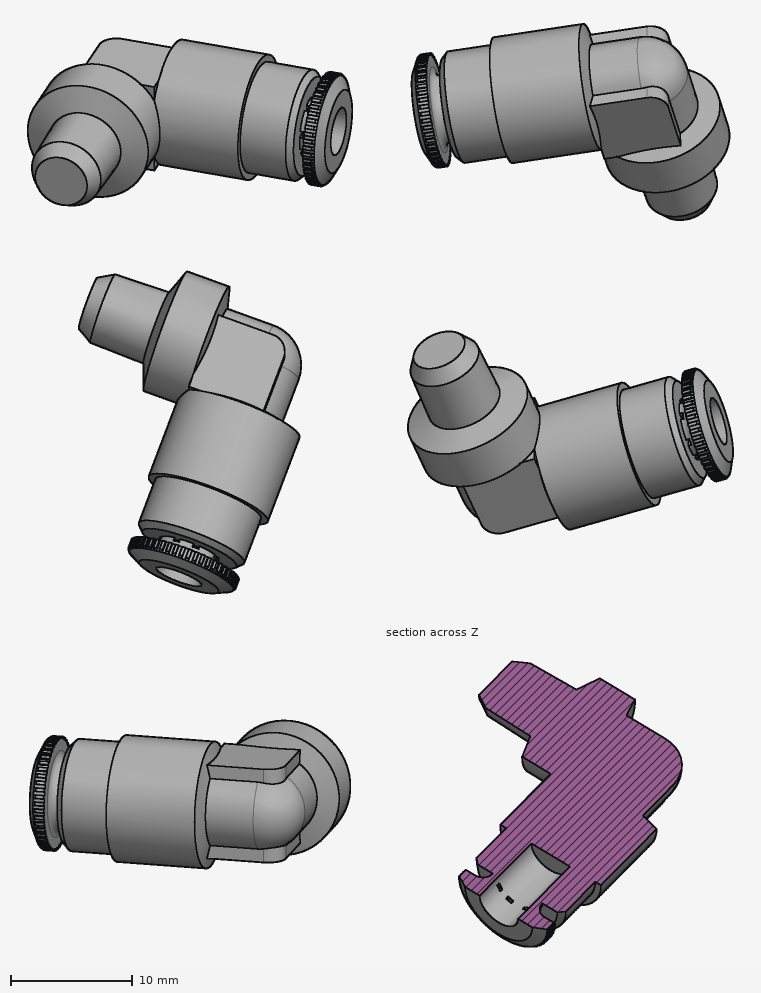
import cadquery as cq
import math


overall_length = 24.25
overall_depth = 20.25
barrel_radius = 10.5 / 2
socket_end = overall_length - barrel_radius
stem_end = overall_depth - barrel_radius

elbow_radius = 3.5
barrel_start = 4.5
lead_angle = 15.0
lead_length = (barrel_radius - elbow_radius) * math.tan(math.radians(lead_angle))
cone_start = barrel_start - lead_length

block_height = 8.0
block_margin = 2.0
block_corner_radius = 1.5

collar_end = 8.2
shank_start = 9.0
shank_end = 13.7
shank_start_radius = 3.13
shank_end_radius = 3.0
stem_tip_radius = 2.25

body_end = 12.03
sleeve_radius = 4.65
sleeve_end = 16.5
sleeve_chamfer = 0.5

neck_radius = 2.6
neck_flare_radius = 1.0
rim_start = sleeve_end + neck_flare_radius
rim_radius = 4.73
groove_depth = 0.15
rim_root_radius = rim_radius - groove_depth
rim_cone_start = 18.43
rim_chamfer_start = 18.24
button_face_radius = 3.5
bore_radius = 2.0
groove_count = 50
groove_width = math.pi * rim_radius / groove_count
slit_width = 0.5
slit_offset = 0.85
slit_length = 0.27
button_turn = 5.0


def revolve_about_x(profile):
    return profile.close().revolve(360, (0, 0, 0), (1, 0, 0))


def make_stem():
    """Elbow arm, collar and tapered shank, turned about the Y axis."""
    outline = [
        (0, 0),
        (elbow_radius, 0),
        (elbow_radius, -cone_start),
        (barrel_radius, -barrel_start),
        (barrel_radius, -collar_end),
        (shank_start_radius, -shank_start),
        (shank_end_radius, -shank_end),
        (stem_tip_radius, -stem_end),
        (0, -stem_end),
    ]
    profile = cq.Workplane("XY").polyline(outline).close()
    return profile.revolve(360, (0, 0, 0), (0, 1, 0))


def make_socket():
    """Elbow arm, body and stepped sleeve, turned about the X axis."""
    outline = [
        (0, 0),
        (0, elbow_radius),
        (cone_start, elbow_radius),
        (barrel_start, barrel_radius),
        (body_end, barrel_radius),
        (body_end, sleeve_radius),
        (sleeve_end - sleeve_chamfer, sleeve_radius),
        (sleeve_end, sleeve_radius - sleeve_chamfer),
        (sleeve_end, 0),
    ]
    return revolve_about_x(cq.Workplane("XY").polyline(outline))


def make_wrench_block():
    side = block_margin + barrel_start
    middle = (barrel_start - block_margin) / 2
    block = cq.Workplane("XY").box(side, side, block_height).translate((middle, -middle, 0))
    return block.edges("|Z and <X and >Y").fillet(block_corner_radius)


def make_button_blank():
    """Neck flaring into the rim, turned about the X axis."""
    flare_end_radius = neck_radius + neck_flare_radius
    flare_mid = (
        sleeve_end + neck_flare_radius * math.sin(math.pi / 4),
        flare_end_radius - neck_flare_radius * math.cos(math.pi / 4),
    )
    profile = (
        cq.Workplane("XY")
        .moveTo(body_end, 0)
        .lineTo(body_end, neck_radius)
        .lineTo(sleeve_end, neck_radius)
        .threePointArc(flare_mid, (rim_start, flare_end_radius))
        .lineTo(rim_start, rim_radius)
        .lineTo(rim_chamfer_start, rim_radius)
        .lineTo(rim_cone_start, rim_root_radius)
        .lineTo(socket_end, button_face_radius)
        .lineTo(socket_end, 0)
    )
    return revolve_about_x(profile)


def make_rim_grooves():
    """Straight grooves spaced evenly around the rim, ending where its cone starts."""
    pitch_angle = 360 / groove_count
    length = rim_cone_start - rim_start
    outer_radius = rim_radius + groove_depth
    band = (
        cq.Workplane("YZ", origin=(rim_start, 0, 0))
        .circle(outer_radius)
        .circle(rim_root_radius)
        .extrude(length)
    )
    bars = (
        cq.Workplane("YZ", origin=(rim_start, 0, 0))
        .polarArray(rim_radius, pitch_angle / 2, 360, groove_count)
        .rect(4 * groove_depth, groove_width)
        .extrude(length)
    )
    return band.intersect(bars)


def make_neck_slits():
    """Two crossing pairs of parallel slits through the neck wall."""
    span = 2 * rim_radius
    centers = [(0, -slit_offset), (0, slit_offset)]
    pair = (
        cq.Workplane("YZ", origin=(sleeve_end, 0, 0))
        .pushPoints(centers)
        .rect(span, slit_width)
        .extrude(slit_length)
    )
    return pair.union(pair.rotate((0, 0, 0), (1, 0, 0), 90))


def make_bore():
    """Tube bore, stopping level with the shoulder of the body."""
    depth = socket_end - body_end
    return cq.Workplane("YZ", origin=(body_end, 0, 0)).circle(bore_radius).extrude(depth)


button = make_button_blank().cut(make_rim_grooves()).cut(make_neck_slits())
button = button.rotate((0, 0, 0), (1, 0, 0), button_turn)

elbow = cq.Workplane("XY").sphere(elbow_radius)
result = elbow.union(make_stem()).union(make_socket()).union(make_wrench_block())
result = result.union(button).cut(make_bore())